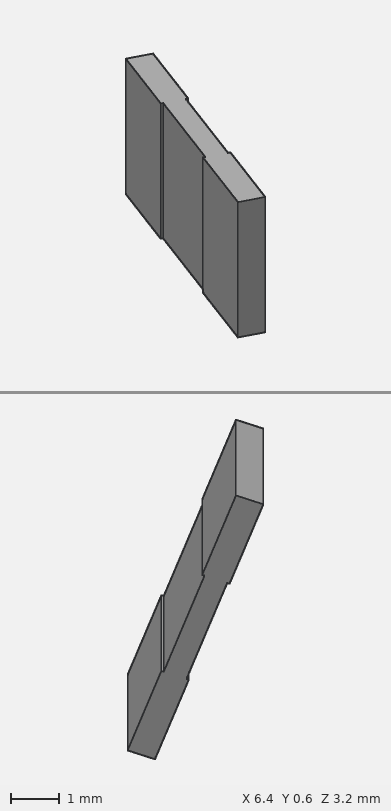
import cadquery as cq

length = 6.4
thickness = 0.6
height = 3.2
terminal_length = 2.0
step_depth = 0.05

middle_length = length - 2 * terminal_length
middle_thickness = thickness - 2 * step_depth


def terminal(side):
    """Full-thickness end block; side is -1 or +1 along X."""
    center_x = side * (length - terminal_length) / 2
    return cq.Workplane("XY").box(terminal_length, thickness, height).translate((center_x, 0, 0))


result = cq.Workplane("XY").box(middle_length, middle_thickness, height)
for side in (-1, 1):
    result = result.union(terminal(side))